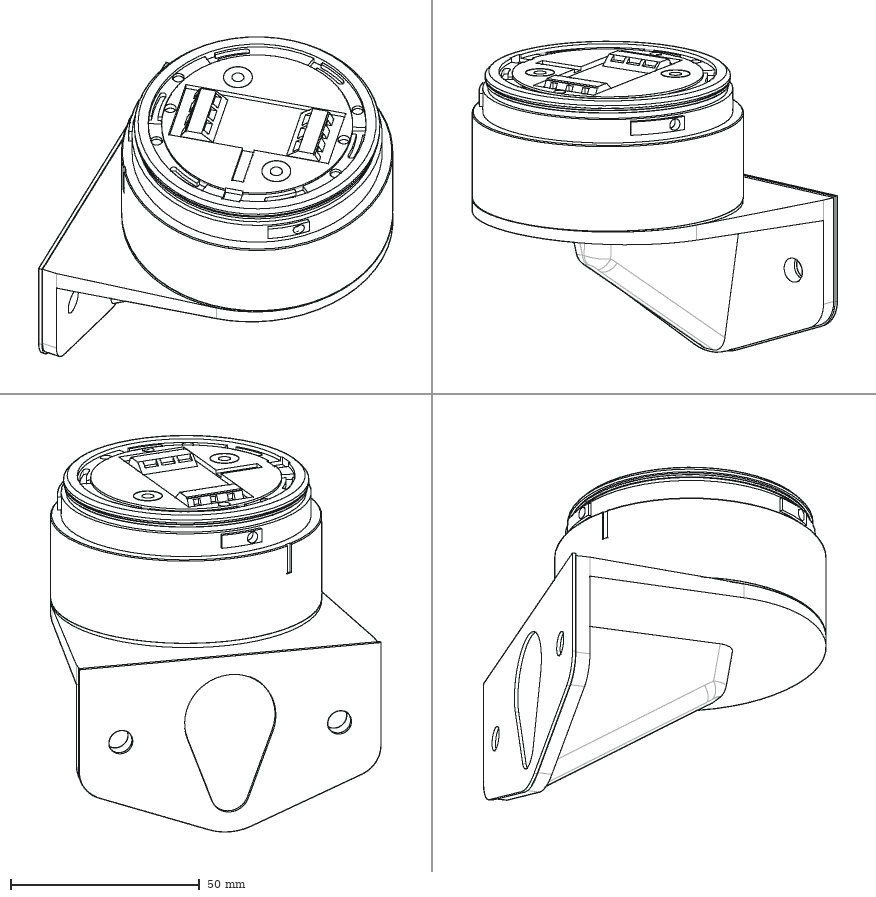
import cadquery as cq
import math

BRACKET_TURN = 30.0
PANEL_TURN = 40.0
CLEARANCE = 1.0

BODY_DIAMETER = 72.0
BODY_RADIUS = BODY_DIAMETER / 2
SEAT_STEP = 0.1
GASKET_OUTER_X = -44.9
GASKET_THICKNESS = 1.0
GASKET_HALF_WIDTH = 41.4
GASKET_TOP = -1.0
GASKET_BOTTOM = -50.4
WALL_THICKNESS = 4.0
WALL_INSET = 0.5
WALL_OUTER_X = GASKET_OUTER_X + GASKET_THICKNESS
WALL_INNER_X = WALL_OUTER_X + WALL_THICKNESS
WALL_HALF_WIDTH = GASKET_HALF_WIDTH - WALL_INSET
EDGE_SLOPE = 21.2
GASKET_CORNER_RADIUS = 8.3
GASKET_TIP_RADIUS = 16.0

PLATE_SEAT_HEIGHT = 0.1
PLATE_TOP_SLOPE = 0.9
PLATE_UNDER_SLOPE = 2.8
PLATE_END_THICKNESS = 3.2

MOUNT_HOLE_DIAMETER = 6.5
MOUNT_HOLE_Y = 30.0
MOUNT_HOLE_Z = -22.4

TEAR_TOP_RADIUS = 12.5
TEAR_TOP_Z = -18.6
TEAR_LOW_RADIUS = 5.3
TEAR_LOW_Z = -39.5

RIB_EDGE_HALF_WIDTH = 4.8
RIB_DRAFT = 11.3
RIB_NOSE_X = 11.5
RIB_NOSE_LEAN = 7.5
RIB_NOSE_BOTTOM = -16.0
RIB_SLOPE = 34.0
RIB_NOSE_RADIUS = 5.4
RIB_EDGE_RADIUS = 4.2

BODY_TOP = 23.4
BODY_EDGE = 0.3
COLLAR_RADIUS = 33.2
COLLAR_TOP = 29.8
NECK_DIAMETER = 63.7
NECK_RADIUS = NECK_DIAMETER / 2
BEAD_RADIUS = 32.2
BEAD_BOTTOM = 31.4
BEAD_TOP = 32.0
FLANGE_DIAMETER = 65.1
FLANGE_RADIUS = FLANGE_DIAMETER / 2
FLANGE_BOTTOM = 32.7
FLANGE_CHAMFER_Z = 33.5
RIM_RADIUS = 31.5
RIM_TOP = 34.5

DISC_RADIUS = 25.3
DISC_TOP = 34.0
CHANNEL_OUTER_RADIUS = 28.9
CHANNEL_FLOOR = 33.5

ARC_SLOT_COUNT = 6
ARC_SLOT_FIRST_ANGLE = 28.3
ARC_SLOT_SPAN = 24.4
ARC_SLOT_ENTRY_SPAN = 5.6
ARC_SLOT_WIDTH = 1.7
ARC_SLOT_RADIUS = 27.3
ARC_SLOT_DEPTH = 1.4

PANEL_LENGTH = 43.7
PANEL_WIDTH = 18.9
PANEL_FLOOR = 32.6

TERMINAL_TOP = 35.2
TERMINAL_WIDTH = 16.1
TERMINAL_INNER = 10.0
TERMINAL_TOP_INNER = 13.2
TERMINAL_TOP_OUTER = 17.8
TERMINAL_OUTER = 18.9
TERMINAL_STEP = 0.4
POLE_COUNT = 3
POLE_PITCH = 5.0
POLE_SHIFT = -0.4
POLE_POCKET_WIDTH = 3.8
POLE_POCKET_FLOOR = 33.8
WINDOW_WIDTH = 1.9
WINDOW_DEPTH = 0.8
WINDOW_TOP = 34.4

KEYWAY_WIDTH = 3.2
KEYWAY_LENGTH = 12.0
KEYWAY_DEPTH = 1.0

NOTCH_ANGLE = -50.0
NOTCH_INNER = 24.8
NOTCH_OUTER = 29.25
NOTCH_WIDTH = 4.8
NOTCH_DEPTH = 1.05

SCREW_HOLE_DIAMETER = 3.2
SCREW_SEAT_DIAMETER = 7.6
SCREW_SEAT_DEPTH = 0.1
SCREW_HOLE_DEPTH = 3.8
SCREW_CIRCLE_RADIUS = 18.0
SCREW_ANGLE = 160.5

CONTACT_DIAMETER = 3.1
CONTACT_DEPTH = 1.0
CONTACT_INNER_RADIUS = 23.7
CONTACT_OUTER_RADIUS = 27.2
CONTACT_SPREAD = 26.0

TAB_RANGES = [(83.0, 109.0), (211.0, 231.0), (329.0, 348.0)]
TAB_RADIUS = 34.1
TAB_BOTTOM = 25.6
TAB_TOP = 29.25
TAB_HOLE_DIAMETER = 3.1
TAB_HOLE_SETBACK = 5.0
TAB_HOLE_DEPTH = 2.4

MARK_ANGLE = 244.4
MARK_WIDTH = 1.7
MARK_DEPTH = 0.6
MARK_LENGTH = 8.1


def polar(radius, angle):
    """Point at a radius and an angle in degrees."""
    turn = math.radians(angle)
    return (radius * math.cos(turn), radius * math.sin(turn))


def tan(angle):
    return math.tan(math.radians(angle))


def upright_slab(inset, x_start, thickness):
    """Upright slab with a flat top and a blunt V bottom, drawn in by an inset at sides and bottom."""
    half = GASKET_HALF_WIDTH - inset
    secant = 1 / math.cos(math.radians(EDGE_SLOPE))
    tip = GASKET_BOTTOM - GASKET_TIP_RADIUS * (secant - 1) + inset * secant
    shoulder = tip + half * tan(EDGE_SLOPE)
    outline = [(-half, GASKET_TOP), (-half, shoulder), (0, tip), (half, shoulder), (half, GASKET_TOP)]
    slab = cq.Workplane("YZ").workplane(offset=x_start).polyline(outline).close().extrude(thickness)
    slab = slab.edges("|X").edges("<Z").fillet(GASKET_TIP_RADIUS - inset)
    corners = cq.selectors.BoxSelector(
        (x_start - CLEARANCE, -half - CLEARANCE, shoulder - CLEARANCE),
        (x_start + thickness + CLEARANCE, half + CLEARANCE, shoulder + CLEARANCE),
    )
    return slab.edges("|X").edges(corners).fillet(GASKET_CORNER_RADIUS - inset)


def mount_holes():
    """Cutters for the two wall holes, which run through gasket and wall."""
    return (
        cq.Workplane("YZ")
        .workplane(offset=GASKET_OUTER_X)
        .pushPoints([(-MOUNT_HOLE_Y, MOUNT_HOLE_Z), (MOUNT_HOLE_Y, MOUNT_HOLE_Z)])
        .circle(MOUNT_HOLE_DIAMETER / 2)
        .extrude(GASKET_THICKNESS + WALL_THICKNESS)
    )


def plate_outline():
    """Plan outline of the plate: straight wall sides, then tangents to the round end."""
    half = WALL_HALF_WIDTH
    bearing = math.degrees(math.atan2(half, WALL_INNER_X))
    reach = math.degrees(math.acos(BODY_RADIUS / math.hypot(WALL_INNER_X, half)))
    touch_x, touch_y = polar(BODY_RADIUS, bearing - reach)
    return (
        cq.Workplane("XY")
        .moveTo(WALL_OUTER_X, -half)
        .lineTo(WALL_INNER_X, -half)
        .lineTo(touch_x, -touch_y)
        .threePointArc((BODY_RADIUS, 0), (touch_x, touch_y))
        .lineTo(WALL_INNER_X, half)
        .lineTo(WALL_OUTER_X, half)
        .close()
    )


def below_plane(z_at_end, slope):
    """Large prism below a plane that falls from the plate's round end towards the wall."""
    reach = 2 * BODY_RADIUS
    floor = 2 * GASKET_BOTTOM
    profile = [
        (-reach, floor),
        (reach, floor),
        (reach, z_at_end + (reach - BODY_RADIUS) * tan(slope)),
        (-reach, z_at_end - (reach + BODY_RADIUS) * tan(slope)),
    ]
    return cq.Workplane("XZ").polyline(profile).close().extrude(GASKET_HALF_WIDTH, both=True)


def plate():
    """Tapered plate with the level seat for the housing on top."""
    flange = plate_outline().extrude(GASKET_BOTTOM)
    flange = flange.intersect(below_plane(-PLATE_SEAT_HEIGHT, PLATE_TOP_SLOPE))
    seat = cq.Workplane("XY").circle(BODY_RADIUS - SEAT_STEP).extrude(-PLATE_END_THICKNESS)
    return flange.union(seat).cut(below_plane(-PLATE_END_THICKNESS, PLATE_UNDER_SLOPE))


def rib():
    """Drafted gusset between the plate and the wall, with a leaning nose and a sloping underside."""
    root_z = -PLATE_END_THICKNESS
    nose_low_x = RIB_NOSE_X + RIB_NOSE_BOTTOM * tan(RIB_NOSE_LEAN)
    wall_z = RIB_NOSE_BOTTOM - (nose_low_x - WALL_INNER_X) * tan(RIB_SLOPE)
    side_profile = [
        (WALL_INNER_X, root_z),
        (RIB_NOSE_X + root_z * tan(RIB_NOSE_LEAN), root_z),
        (nose_low_x, RIB_NOSE_BOTTOM),
        (WALL_INNER_X, wall_z),
    ]
    side = cq.Workplane("XZ").polyline(side_profile).close().extrude(WALL_HALF_WIDTH, both=True)

    along_slope = polar(1, RIB_SLOPE)
    across = cq.Plane((nose_low_x, 0, RIB_NOSE_BOTTOM), (0, 1, 0), (along_slope[0], 0, along_slope[1]))
    height = -wall_z
    top_half = RIB_EDGE_HALF_WIDTH + height * tan(RIB_DRAFT)
    section = [
        (-RIB_EDGE_HALF_WIDTH, 0),
        (RIB_EDGE_HALF_WIDTH, 0),
        (top_half, height),
        (-top_half, height),
    ]
    wedge = cq.Workplane(across).polyline(section).close().extrude(-2 * GASKET_BOTTOM, both=True)
    body = side.intersect(wedge)
    body = body.faces(">X").edges("not |Y").fillet(RIB_NOSE_RADIUS)
    return body.faces("<Z").edges("not <X").fillet(RIB_EDGE_RADIUS)


def make_bracket():
    """Wall, plate and rib, which are one piece with the housing."""
    wall = upright_slab(WALL_INSET, WALL_OUTER_X, WALL_THICKNESS)
    wall = wall.intersect(below_plane(-PLATE_SEAT_HEIGHT, PLATE_TOP_SLOPE))
    body = plate().union(wall).union(rib()).cut(mount_holes())
    return body.rotate((0, 0, 0), (0, 0, 1), BRACKET_TURN)


def teardrop_window():
    """Cutter for the window: a large and a small round end joined by tangents."""
    lean = math.degrees(math.asin((TEAR_TOP_RADIUS - TEAR_LOW_RADIUS) / (TEAR_TOP_Z - TEAR_LOW_Z)))
    top_y, top_dz = polar(TEAR_TOP_RADIUS, -lean)
    low_y, low_dz = polar(TEAR_LOW_RADIUS, -lean)
    return (
        cq.Workplane("YZ")
        .workplane(offset=GASKET_OUTER_X)
        .moveTo(top_y, TEAR_TOP_Z + top_dz)
        .threePointArc((0, TEAR_TOP_Z + TEAR_TOP_RADIUS), (-top_y, TEAR_TOP_Z + top_dz))
        .lineTo(-low_y, TEAR_LOW_Z + low_dz)
        .threePointArc((0, TEAR_LOW_Z - TEAR_LOW_RADIUS), (low_y, TEAR_LOW_Z + low_dz))
        .close()
        .extrude(GASKET_THICKNESS)
    )


def make_gasket():
    """Flat sheet against the outer face of the wall."""
    sheet = upright_slab(0, GASKET_OUTER_X, GASKET_THICKNESS)
    sheet = sheet.cut(teardrop_window()).cut(mount_holes())
    return sheet.rotate((0, 0, 0), (0, 0, 1), BRACKET_TURN)


def ring_sector(inner, outer, start, span, z_low, z_high):
    """Block bounded by two radii, two angles and two heights."""
    middle = start + span / 2
    return (
        cq.Workplane("XY")
        .workplane(offset=z_low)
        .moveTo(*polar(inner, start))
        .lineTo(*polar(outer, start))
        .threePointArc(polar(outer, middle), polar(outer, start + span))
        .lineTo(*polar(inner, start + span))
        .threePointArc(polar(inner, middle), polar(inner, start))
        .close()
        .extrude(z_high - z_low)
    )


def box_at(x_low, x_high, y_low, y_high, z_low, z_high, angle):
    """Upright box given by its limits, then turned about the Z axis."""
    box = cq.Workplane("XY").box(x_high - x_low, y_high - y_low, z_high - z_low, centered=False)
    return box.translate((x_low, y_low, z_low)).rotate((0, 0, 0), (0, 0, 1), angle)


def turned_body():
    """Stepped round body with its neck, bead, flange and the channel in its end face."""
    profile = [
        (0, 0),
        (BODY_RADIUS, 0),
        (BODY_RADIUS, BODY_TOP - BODY_EDGE),
        (BODY_RADIUS - BODY_EDGE, BODY_TOP),
        (COLLAR_RADIUS, BODY_TOP),
        (COLLAR_RADIUS, COLLAR_TOP),
        (NECK_RADIUS, COLLAR_TOP),
        (NECK_RADIUS, BEAD_BOTTOM),
        (BEAD_RADIUS, BEAD_BOTTOM),
        (BEAD_RADIUS, BEAD_TOP),
        (NECK_RADIUS, BEAD_TOP),
        (NECK_RADIUS, FLANGE_BOTTOM),
        (FLANGE_RADIUS, FLANGE_BOTTOM),
        (FLANGE_RADIUS, FLANGE_CHAMFER_Z),
        (RIM_RADIUS, RIM_TOP),
        (CHANNEL_OUTER_RADIUS, RIM_TOP),
        (CHANNEL_OUTER_RADIUS, CHANNEL_FLOOR),
        (DISC_RADIUS, CHANNEL_FLOOR),
        (DISC_RADIUS, DISC_TOP),
        (0, DISC_TOP),
    ]
    return cq.Workplane("XZ").polyline(profile).close().revolve(360, (0, 0, 0), (0, 1, 0))


def arc_slots():
    """Bayonet slots in the channel: a narrow arc with a wide entry at its far end."""
    half = ARC_SLOT_WIDTH / 2
    floor = CHANNEL_FLOOR - ARC_SLOT_DEPTH
    tip_angle = math.degrees(half / ARC_SLOT_RADIUS)
    slots = cq.Workplane("XY")
    for index in range(ARC_SLOT_COUNT):
        start = ARC_SLOT_FIRST_ANGLE + tip_angle + index * 360 / ARC_SLOT_COUNT
        end = start + ARC_SLOT_SPAN - tip_angle
        narrow = ring_sector(
            ARC_SLOT_RADIUS - half, ARC_SLOT_RADIUS + half, start, end - start, floor, RIM_TOP
        )
        tip_x, tip_y = polar(ARC_SLOT_RADIUS, start)
        tip = cq.Workplane("XY").center(tip_x, tip_y).circle(half).extrude(RIM_TOP - floor)
        entry = ring_sector(
            DISC_RADIUS, CHANNEL_OUTER_RADIUS, end - ARC_SLOT_ENTRY_SPAN, ARC_SLOT_ENTRY_SPAN, floor, RIM_TOP
        )
        slots = slots.union(narrow).union(tip.translate((0, 0, floor))).union(entry)
    return slots


def contact_holes():
    """Two groups of three small blind holes at the ends of the recess."""
    floor = CHANNEL_FLOOR - CONTACT_DEPTH
    holes = cq.Workplane("XY").workplane(offset=floor)
    points = []
    for side in (PANEL_TURN, PANEL_TURN + 180):
        points.append(polar(CONTACT_INNER_RADIUS, side))
        for spread in (-CONTACT_SPREAD, CONTACT_SPREAD):
            points.append(polar(CONTACT_OUTER_RADIUS, side + spread))
    return holes.pushPoints(points).circle(CONTACT_DIAMETER / 2).extrude(RIM_TOP - floor)


def screw_holes():
    """Cutters for the two screw holes and their shallow round seats."""
    points = [polar(SCREW_CIRCLE_RADIUS, SCREW_ANGLE + turn) for turn in (0, 180)]
    top = cq.Workplane("XY").workplane(offset=DISC_TOP).pushPoints(points)
    seats = top.circle(SCREW_SEAT_DIAMETER / 2).extrude(-SCREW_SEAT_DEPTH)
    return top.circle(SCREW_HOLE_DIAMETER / 2).extrude(-SCREW_HOLE_DEPTH).union(seats)


def panel_recess():
    """Cutter for the rectangular recess that holds the terminal blocks."""
    half_length = PANEL_LENGTH / 2
    half_width = PANEL_WIDTH / 2
    return box_at(-half_length, half_length, -half_width, half_width, PANEL_FLOOR, RIM_TOP, PANEL_TURN)


def keyway():
    """Cutter for the shallow channel leading sideways out of the recess."""
    edge = -PANEL_WIDTH / 2
    half = KEYWAY_WIDTH / 2
    floor = DISC_TOP - KEYWAY_DEPTH
    return box_at(-half, half, edge - KEYWAY_LENGTH, edge, floor, RIM_TOP, PANEL_TURN)


def rim_notch():
    """Cutter for the pit across the channel."""
    half = NOTCH_WIDTH / 2
    return box_at(NOTCH_INNER, NOTCH_OUTER, -half, half, CHANNEL_FLOOR - NOTCH_DEPTH, RIM_TOP, NOTCH_ANGLE)


def terminal_block(angle):
    """Terminal block with sloping sides, pockets on the inner side and windows on the outer."""
    profile = [
        (TERMINAL_INNER, PANEL_FLOOR),
        (TERMINAL_OUTER, PANEL_FLOOR),
        (TERMINAL_TOP_OUTER, TERMINAL_TOP - TERMINAL_STEP),
        (TERMINAL_TOP_OUTER - TERMINAL_STEP, TERMINAL_TOP - TERMINAL_STEP),
        (TERMINAL_TOP_OUTER - TERMINAL_STEP, TERMINAL_TOP),
        (TERMINAL_TOP_INNER, TERMINAL_TOP),
    ]
    block = cq.Workplane("XZ").polyline(profile).close().extrude(TERMINAL_WIDTH / 2, both=True)
    pocket_half = POLE_POCKET_WIDTH / 2
    window_half = WINDOW_WIDTH / 2
    window_back = TERMINAL_TOP_OUTER - WINDOW_DEPTH
    for index in range(POLE_COUNT):
        y = POLE_SHIFT + (index - (POLE_COUNT - 1) / 2) * POLE_PITCH
        pocket = box_at(
            TERMINAL_INNER, TERMINAL_TOP_INNER, y - pocket_half, y + pocket_half,
            POLE_POCKET_FLOOR, TERMINAL_TOP, 0,
        )
        window = box_at(
            window_back, TERMINAL_OUTER, y - window_half, y + window_half, PANEL_FLOOR, WINDOW_TOP, 0
        )
        block = block.cut(pocket).cut(window)
    return block.rotate((0, 0, 0), (0, 0, 1), angle)


def side_tab(start, end):
    """Low boss on the collar."""
    return ring_sector(NECK_RADIUS, TAB_RADIUS, start, end - start, TAB_BOTTOM, TAB_TOP)


def tab_hole(end):
    """Blind radial hole near the end of a tab."""
    hole = cq.Workplane("YZ").workplane(offset=TAB_RADIUS).circle(TAB_HOLE_DIAMETER / 2)
    hole = hole.extrude(-TAB_HOLE_DEPTH).translate((0, 0, (TAB_BOTTOM + TAB_TOP) / 2))
    return hole.rotate((0, 0, 0), (0, 0, 1), end - TAB_HOLE_SETBACK)


def index_mark():
    """Short groove running down the side from the body's top edge."""
    half = MARK_WIDTH / 2
    floor = BODY_RADIUS - MARK_DEPTH
    outside = BODY_RADIUS + CLEARANCE
    return box_at(floor, outside, -half, half, BODY_TOP - MARK_LENGTH, BODY_TOP, MARK_ANGLE)


def make_housing():
    """Round housing with everything on its end face and side."""
    body = turned_body()
    body = body.cut(panel_recess()).cut(keyway()).cut(rim_notch())
    body = body.cut(arc_slots()).cut(contact_holes()).cut(screw_holes()).cut(index_mark())
    for angle in (PANEL_TURN, PANEL_TURN + 180):
        body = body.union(terminal_block(angle))
    for start, end in TAB_RANGES:
        body = body.union(side_tab(start, end)).cut(tab_hole(end))
    return body


base = make_housing().union(make_bracket())
gasket = make_gasket()

result = cq.Compound.makeCompound([base.val(), gasket.val()])